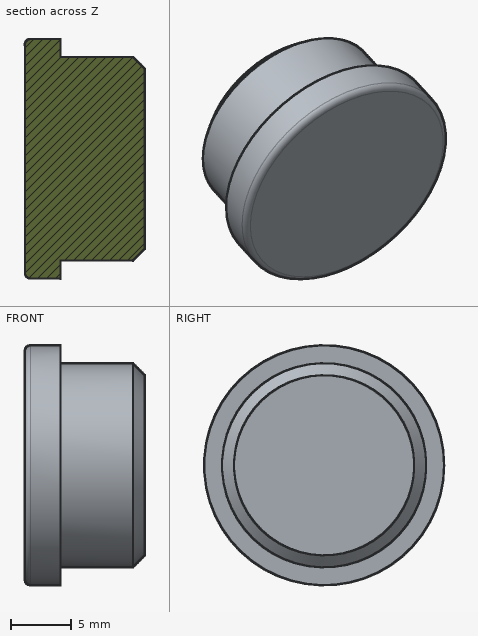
import cadquery as cq

total_length = 10.0
head_diameter = 20.0
head_thickness = 3.0
head_fillet = 0.5
plug_diameter = 17.0
plug_chamfer = 1.0

plug_length = total_length - head_thickness


def make_head():
    """Disc with a rounded rim on its outer (-X) face."""
    disc = cq.Workplane("YZ").circle(head_diameter / 2).extrude(head_thickness)
    return disc.faces("<X").edges().fillet(head_fillet)


def make_plug():
    """Solid cylinder behind the head, chamfered at its free (+X) end."""
    plug = (
        cq.Workplane("YZ", origin=(head_thickness, 0, 0))
        .circle(plug_diameter / 2)
        .extrude(plug_length)
    )
    return plug.faces(">X").edges().chamfer(plug_chamfer)


result = make_head().union(make_plug())